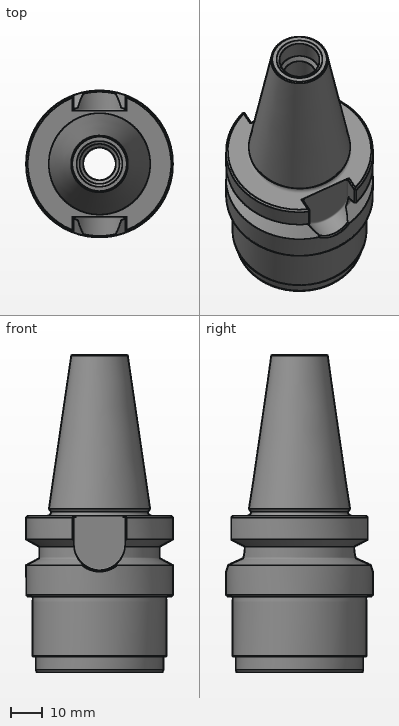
import cadquery as cq
import math

total_height = 99.3
shank_top_rim = 0.4
taper_gauge_z = 51.0
taper_gauge_radius = 15.87
taper_ratio = 7 / 24

undercut_radius = 15.2
undercut_z = 50.1
root_flare_radius = 16.3

flange_radius = 22.99
flange_top_z = 49.0
flange_bottom_z = 23.6
flange_chamfer = 0.6
groove_radius = 18.9
groove_outer_low_z = 33.5
groove_inner_low_z = 35.6
groove_foot_fillet = 0.4
groove_inner_high_z = 39.2
groove_outer_high_z = 41.5

body_radius = 21.0
body_relief = 0.1
body_relief_low_z = 22.0
body_relief_high_z = 23.1
body_fillet = flange_bottom_z - body_relief_high_z
body_low_z = 4.9
body_chamfer = 0.3
nose_radius = 20.01
nose_chamfer_height = 0.8
nose_chamfer_width = 0.3

slot_half_width = 7.99
slot_arc_z = 39.9
slot_end_z = slot_arc_z - slot_half_width
slot_floor_y = 16.6
slot_floor_fillet = 0.5
slot_edge_chamfer = 0.5

tolerance = 0.01

hole_radius = 10.1 / 2
bore_radius = 12.5 / 2
bore_depth = 7.2
bore_mouth_radius = 7.1
bore_mouth_depth = 0.5


def taper_radius(z):
    """Radius of the shank cone at height z."""
    return taper_gauge_radius - (z - taper_gauge_z) * taper_ratio / 2


def make_body():
    """Revolve the outer profile, from the nose up to the shank."""
    relief_radius = body_radius - body_relief
    rim_z = total_height - shank_top_rim
    diagonal = math.sqrt(0.5)
    fillet_middle = (
        relief_radius + body_fillet * (1 - diagonal),
        flange_bottom_z - body_fillet * (1 - diagonal),
    )
    flare_width = root_flare_radius - undercut_radius
    flare_height = undercut_z - flange_top_z
    flare_middle = (
        root_flare_radius - flare_width * diagonal,
        undercut_z - flare_height * diagonal,
    )
    profile = (
        cq.Workplane("XZ")
        .moveTo(0, 0)
        .lineTo(nose_radius - nose_chamfer_width, 0)
        .lineTo(nose_radius, nose_chamfer_height)
        .lineTo(nose_radius, body_low_z)
        .lineTo(body_radius - body_chamfer, body_low_z)
        .lineTo(body_radius, body_low_z + body_chamfer)
        .lineTo(body_radius, body_relief_low_z)
        .lineTo(relief_radius, body_relief_high_z)
        .threePointArc(fillet_middle, (relief_radius + body_fillet, flange_bottom_z))
        .lineTo(flange_radius - flange_chamfer, flange_bottom_z)
        .lineTo(flange_radius, flange_bottom_z + flange_chamfer)
        .lineTo(flange_radius, groove_outer_low_z)
        .lineTo(groove_radius, groove_inner_low_z)
        .lineTo(groove_radius, groove_inner_high_z)
        .lineTo(flange_radius, groove_outer_high_z)
        .lineTo(flange_radius, flange_top_z - flange_chamfer)
        .lineTo(flange_radius - flange_chamfer, flange_top_z)
        .lineTo(root_flare_radius, flange_top_z)
        .threePointArc(flare_middle, (undercut_radius, undercut_z))
        .lineTo(taper_gauge_radius, taper_gauge_z)
        .lineTo(taper_radius(rim_z), rim_z)
        .lineTo(taper_radius(rim_z) - shank_top_rim, total_height)
        .lineTo(0, total_height)
        .close()
    )
    turned = profile.revolve(360, (0, 0), (0, 1))
    groove_foot = [
        edge
        for edge in turned.edges("%CIRCLE").vals()
        if abs(edge.Center().z - groove_inner_low_z) < tolerance
    ]
    return turned.newObject(groove_foot).fillet(groove_foot_fillet)


def make_bore():
    """Stepped through bore with a chamfered mouth and a conical step."""
    step_z = total_height - bore_depth
    step_height = bore_radius - hole_radius
    profile = (
        cq.Workplane("XZ")
        .lineTo(hole_radius, 0)
        .lineTo(hole_radius, step_z - step_height)
        .lineTo(bore_radius, step_z)
        .lineTo(bore_radius, total_height - bore_mouth_depth)
        .lineTo(bore_mouth_radius, total_height)
        .lineTo(0, total_height)
        .close()
    )
    return profile.revolve(360, (0, 0), (0, 1))


def make_slot():
    """Round-ended drive slot cutter on the -Y side, open at the flange top."""
    cutter = (
        cq.Workplane("XZ", origin=(0, -slot_floor_y, 0))
        .moveTo(-slot_half_width, taper_gauge_z)
        .lineTo(-slot_half_width, slot_arc_z)
        .threePointArc((0, slot_end_z), (slot_half_width, slot_arc_z))
        .lineTo(slot_half_width, taper_gauge_z)
        .close()
        .extrude(flange_radius - slot_floor_y + 1)
    )
    return cutter.faces(">Y").edges("not(>Z)").fillet(slot_floor_fillet)


def make_wall_top_chamfers():
    """Cutter that bevels the top edges of both slot walls, running outward from the slot floor."""
    widened = slot_half_width + slot_edge_chamfer
    low_z = flange_top_z - slot_edge_chamfer
    return (
        cq.Workplane("XZ", origin=(0, -slot_floor_y, 0))
        .moveTo(-slot_half_width, low_z)
        .lineTo(slot_half_width, low_z)
        .lineTo(widened, flange_top_z)
        .lineTo(-widened, flange_top_z)
        .close()
        .extrude(flange_radius - slot_floor_y + 1)
    )


def is_slot_rim(edge):
    """True for the slot's edges on the flange's outer cylinder: upright sides and round end."""
    middle = edge.positionAt(0.5)
    box = edge.BoundingBox()
    on_outside = abs(math.hypot(middle.x, middle.y) - flange_radius) < tolerance
    on_wall = abs(abs(middle.x) - slot_half_width) < tolerance
    upright = on_wall and box.xlen < tolerance
    round_end = abs(middle.x) < tolerance and abs(middle.z - slot_end_z) < tolerance
    return on_outside and (upright or round_end)


body = make_body().cut(make_bore())
slot = make_slot()
wall_top_chamfers = make_wall_top_chamfers()
slot_angles = (0, 180)

for angle in slot_angles:
    body = body.cut(slot.rotate((0, 0, 0), (0, 0, 1), angle))

slot_rims = [edge for edge in body.edges().vals() if is_slot_rim(edge)]
body = body.newObject(slot_rims).chamfer(slot_edge_chamfer)

for angle in slot_angles:
    body = body.cut(wall_top_chamfers.rotate((0, 0, 0), (0, 0, 1), angle))

result = body